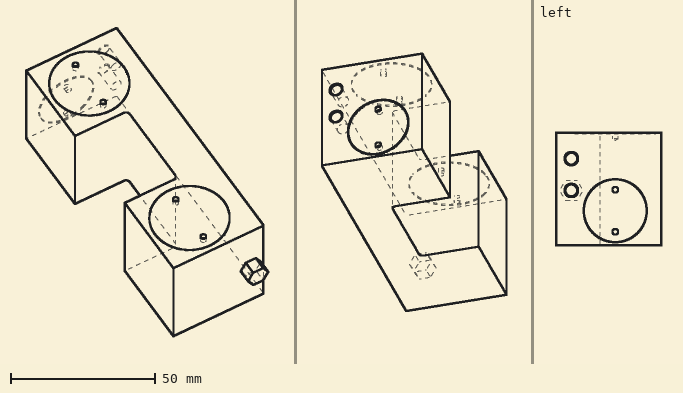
import cadquery as cq
import math

TOTAL_LENGTH = 105.1
BLOCK_LENGTH = 100.1
BLOCK_DEPTH = 36.5
BLOCK_HEIGHT = 39.1

ARM_LENGTH = 33.1
NOTCH_DEPTH = 21.2
NOTCH_FILLET = 1.5
BACK_EDGE_FILLET = 0.4

ARM_COVER_INSET = 16.0
TOP_COVER_DIAMETER = 27.9
TOP_COVER_BORE = 28.0
TOP_SPANNER_SPACING = 18.8
SIDE_COVER_DIAMETER = 21.8
SIDE_COVER_BORE = 22.0
SIDE_COVER_Z = 12.0
SIDE_SPANNER_SPACING = 14.6
COVER_GROOVE_DEPTH = 0.5
SPANNER_HOLE_DIAMETER = 2.0
SPANNER_HOLE_DEPTH = 2.1
DRILL_TIP_ANGLE = 118.0

PORT_DIAMETER = 4.1
PORT_MOUTH_DIAMETER = 4.7
PORT_DEPTH = 8.4
PORT_LINE_Y = 31.2
PORT_A_Z = 19.0
PORT_SPACING = 11.0

PLUG_ACROSS_FLATS = 7.0
PLUG_ACROSS_CORNERS = PLUG_ACROSS_FLATS / math.cos(math.pi / 6)
PLUG_LENGTH = TOTAL_LENGTH - BLOCK_LENGTH


def top_plane(x):
    """Plane on the top face, centred on a cover, with its normal pointing out."""
    return cq.Plane(origin=(x, ARM_COVER_INSET, BLOCK_HEIGHT), xDir=(1, 0, 0), normal=(0, 0, 1))


def left_plane(y, z):
    """Plane on the left end face with its x direction along Z and its normal pointing out."""
    return cq.Plane(origin=(0, y, z), xDir=(0, 0, 1), normal=(-1, 0, 0))


def make_block():
    """U-shaped block with rounded notch corners and rounded back edges."""
    block = cq.Workplane("XY").box(BLOCK_LENGTH, BLOCK_DEPTH, BLOCK_HEIGHT, centered=False)
    block = block.edges("|Z and >Y").fillet(BACK_EDGE_FILLET)
    notch = (
        cq.Workplane("XY")
        .box(BLOCK_LENGTH - 2 * ARM_LENGTH, NOTCH_DEPTH, BLOCK_HEIGHT, centered=False)
        .edges("|Z and >Y")
        .fillet(NOTCH_FILLET)
        .translate((ARM_LENGTH, 0, 0))
    )
    return block.cut(notch)


def spanner_hole(radius):
    """Half section of a blind drilled hole, revolved about the local Z axis."""
    tip = radius / math.tan(math.radians(DRILL_TIP_ANGLE / 2))
    return (
        cq.Workplane("XZ")
        .polyline([
            (0, 0),
            (radius, 0),
            (radius, -SPANNER_HOLE_DEPTH),
            (0, -SPANNER_HOLE_DEPTH - tip),
        ])
        .close()
        .revolve(360, (0, 0, 0), (0, 1, 0))
        .val()
    )


def cut_cover(body, plane, bore, diameter, spanner_spacing):
    """Cut the ring groove round a cover and its two spanner holes."""
    groove = cq.Workplane(plane).circle(bore / 2).circle(diameter / 2).extrude(-COVER_GROOVE_DEPTH)
    body = body.cut(groove)
    hole = spanner_hole(SPANNER_HOLE_DIAMETER / 2)
    for side in (-1, 1):
        offset = cq.Location(cq.Vector(side * spanner_spacing / 2, 0, 0))
        body = body.cut(cq.Workplane(hole.moved(cq.Location(plane) * offset)))
    return body


def cut_port(body, z):
    """Cut a blind port with a chamfered mouth into the left end face."""
    plane = left_plane(PORT_LINE_Y, z)
    chamfer = (PORT_MOUTH_DIAMETER - PORT_DIAMETER) / 2
    bore = cq.Workplane(plane).circle(PORT_DIAMETER / 2).extrude(-PORT_DEPTH)
    mouth = cq.Workplane(plane).circle(PORT_MOUTH_DIAMETER / 2).extrude(-chamfer, taper=45)
    return body.cut(bore).cut(mouth)


def make_housing():
    """Block with its three covers and two ports."""
    body = make_block()
    for x in (ARM_COVER_INSET, BLOCK_LENGTH - ARM_COVER_INSET):
        body = cut_cover(body, top_plane(x), TOP_COVER_BORE, TOP_COVER_DIAMETER, TOP_SPANNER_SPACING)
    side_plane = left_plane(ARM_COVER_INSET, SIDE_COVER_Z)
    body = cut_cover(body, side_plane, SIDE_COVER_BORE, SIDE_COVER_DIAMETER, SIDE_SPANNER_SPACING)
    for z in (PORT_A_Z, PORT_A_Z + PORT_SPACING):
        body = cut_port(body, z)
    return body


def make_plug():
    """Hexagonal plug with two corners pointing along Y."""
    return (
        cq.Workplane("YZ", origin=(BLOCK_LENGTH, PORT_LINE_Y, PORT_A_Z))
        .polygon(6, PLUG_ACROSS_CORNERS)
        .extrude(PLUG_LENGTH)
    )


housing = make_housing()
plug = make_plug()

result = cq.Compound.makeCompound([housing.val(), plug.val()])